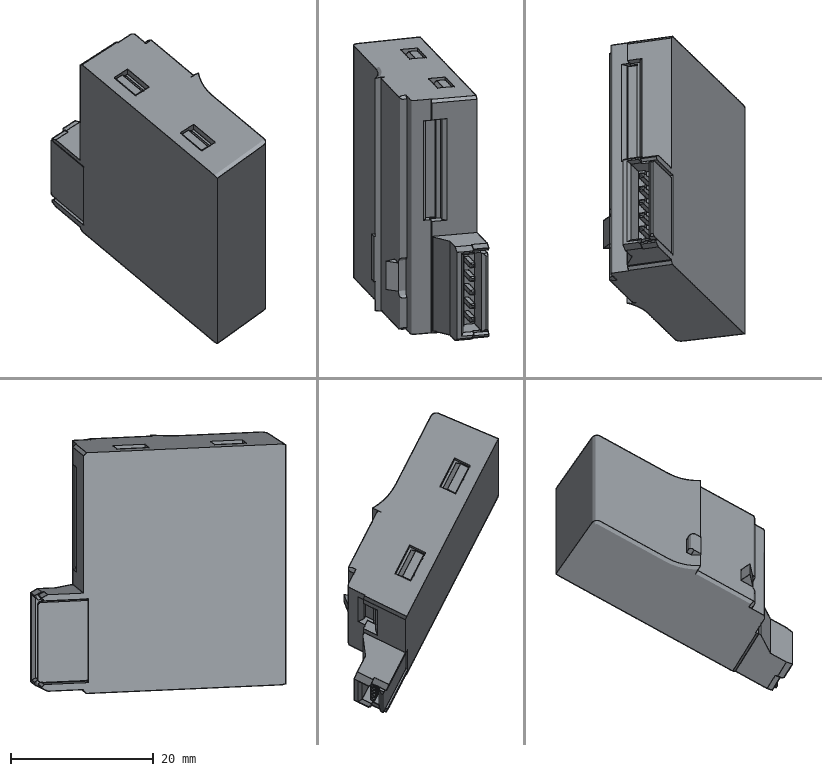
import cadquery as cq
import math


ROUND_MIDDLE = 1 - math.sqrt(0.5)

LENGTH = 35.65
HEIGHT = 34.4
BASE_X = 6.5
BASE_TOP_Y = 6.6
SHOULDER_X = 7.05
SHOULDER_Y = 9.43
SHOULDER_RADIUS = 0.5
BASE_CORNER = 0.43
END_DRAFT = 0.49
END_CORNER_RUN = 0.9
END_CORNER_DROP = 0.85

PANEL_X = 9.25
PANEL_Y = 10.5
PANEL_BEVEL = 0.55
PANEL_BEVEL_RISE = 0.48
PANEL_CORNER_Z = 0.4
RIDGE_X = 18.77
RIDGE_Y = 11.33
BACK_Y = 9.95
DISH_END_X = 23.3
EDGE_BEVEL_Z = 0.14
EDGE_BEVEL_Y = 0.55
TRIM_MARGIN = 2.0

HOOK_BOTTOM_Z = 5.64
HOOK_TOP_Z = 9.8
HOOK_PEAK_X = 11.1
HOOK_PEAK_Y = 11.94
HOOK_END_X = 11.75
NOTCH_RADIUS = 0.95
GRIP_BOTTOM_Z = 4.4
GRIP_TOP_Z = 11.06
GRIP_LENGTH = 1.75
GRIP_Y = 11.5
GRIP_CORNER_Z = 0.75
GRIP_CORNER_X = 0.6

POCKET_STARTS_X = (11.75, 25.8)
POCKET_LENGTH = 4.57
POCKET_MIN_Y = 1.8
POCKET_MAX_Y = 4.25
POCKET_DEPTH = 1.05
TONGUE_MAX_Y = 3.87
TONGUE_CREST_Y = 3.15
TONGUE_MIN_Y = 1.9
TONGUE_DEPTH = 0.3
TONGUE_GAP_START = 0.15
TONGUE_GAP_END = 0.3

SLOT_BOTTOM_Z = 16.66
SLOT_TOP_Z = 31.27
SLOT_MOUTH_BOTTOM_MARGIN = 0.1
SLOT_MOUTH_TOP_MARGIN = 0.23
SLOT_LIP_X = 7.1
SLOT_MIN_Y = 4.4
SLOT_LIP_Y = 4.95
SLOT_STEP_Y = 5.63
SLOT_HIGH_FLOOR_Y = 7.12
SLOT_MAX_Y = 7.68
SLOT_FLOOR_X = 8.2
SLOT_SHELF_X = 7.8

SHELL_BOTTOM_Z = 0.57
SHELL_TOP_Z = 14.37
SHELL_Y = 4.8
SHELL_RAMP_X = 3.6
SHELL_RAMP_END_X = 6.15
SHELL_RAMP_END_Y = 6.5
TIP_CORNER_X = 1.0
TIP_CORNER_Z = 0.53
LIP_Y = 2.3
LIP_SETBACK = 0.5
LIP_CORNER = 0.22
LIP_TIP_CORNER_X = 0.85
LIP_TIP_CORNER_Z = 0.42

CAVITY_BOTTOM_Z = 1.83
CAVITY_TOP_Z = 13.25
CAVITY_MIN_Y = 1.1
CAVITY_MAX_Y = 3.77
CAVITY_LEDGE_Y = 2.8
CAVITY_WIDE_DEPTH = 3.4
CAVITY_DEPTH = 4.0
LEAD_IN = 0.38
LEAD_IN_DEPTH = 0.5

PLATE_END_X = 7.23
PLATE_RECESS = 0.25
PLATE_TIP_Y = 0.6
PLATE_CORNER = 0.3
GROOVE_WIDTH = 0.27
GROOVE_FLARE = 0.35

PIN_COUNT = 5
PIN_PITCH = 2.0
PIN_SIZE = 0.7
PIN_TIP_X = 0.6
PIN_TIP_TAPER = 0.2
PIN_Y = 2.3


def box(x0, x1, y0, y1, z0, z1):
    """Box between two opposite corners."""
    return cq.Workplane("XY").box(x1 - x0, y1 - y0, z1 - z0, centered=False).translate((x0, y0, z0))


def prism_along_z(points, z0, z1):
    """Extrude an XY outline from z0 to z1."""
    return cq.Workplane("XY").workplane(offset=z0).polyline(points).close().extrude(z1 - z0)


def prism_along_y(points, y0, y1):
    """Extrude an XZ outline from y0 to y1."""
    return cq.Workplane("XZ").workplane(offset=-y0).polyline(points).close().extrude(y0 - y1)


def frustum_along_x(x0, x1, start, end):
    """Loft between two YZ rectangles, each given as (y0, y1, z0, z1)."""
    (y0, y1, z0, z1) = start
    (v0, v1, w0, w1) = end
    return (
        cq.Workplane("YZ")
        .workplane(offset=x0)
        .polyline([(y0, z0), (y1, z0), (y1, z1), (y0, z1)])
        .close()
        .workplane(offset=x1 - x0)
        .polyline([(v0, w0), (v1, w0), (v1, w1), (v0, w1)])
        .close()
        .loft(ruled=True)
    )


def dish_radius():
    """Radius of the arc that leaves the ridge and runs tangent into the back."""
    run = DISH_END_X - RIDGE_X
    rise = RIDGE_Y - BACK_Y
    return (run**2 + rise**2) / (2 * rise)


def dish_middle(radius):
    """Point halfway along the dished arc."""
    half_angle = math.asin((DISH_END_X - RIDGE_X) / radius) / 2
    x = DISH_END_X - radius * math.sin(half_angle)
    y = BACK_Y + radius * (1 - math.cos(half_angle))
    return (x, y)


def back_outline():
    """Back outline, run past the ridge and the flat face so that both can be trimmed square."""
    end_x = LENGTH - END_DRAFT
    end_corner_y = BACK_Y - END_CORNER_DROP
    draft_per_y = END_DRAFT / end_corner_y
    corner_middle = (end_x - END_CORNER_RUN * ROUND_MIDDLE, BACK_Y - END_CORNER_DROP * ROUND_MIDDLE)
    return (
        cq.Workplane("XY")
        .moveTo(RIDGE_X - TRIM_MARGIN, -TRIM_MARGIN)
        .lineTo(RIDGE_X - TRIM_MARGIN, RIDGE_Y)
        .lineTo(RIDGE_X, RIDGE_Y)
        .threePointArc(dish_middle(dish_radius()), (DISH_END_X, BACK_Y))
        .lineTo(end_x - END_CORNER_RUN, BACK_Y)
        .threePointArc(corner_middle, (end_x, end_corner_y))
        .lineTo(LENGTH + draft_per_y * TRIM_MARGIN, -TRIM_MARGIN)
        .close()
    )


def make_back():
    """Dished grip surface, flat back and drafted end, bevelled at both ends in Z."""
    bevel_angle = math.degrees(math.atan2(EDGE_BEVEL_Y, EDGE_BEVEL_Z))
    middle = back_outline().extrude(HEIGHT / 2 - EDGE_BEVEL_Z)
    rim = back_outline().extrude(EDGE_BEVEL_Z, taper=bevel_angle).translate((0, 0, HEIGHT / 2 - EDGE_BEVEL_Z))
    upper_half = middle.union(rim)
    back = upper_half.union(upper_half.mirror("XY")).translate((0, 0, HEIGHT / 2))
    return back.intersect(box(RIDGE_X, LENGTH, 0, RIDGE_Y, 0, HEIGHT))


def make_housing():
    """Base, shoulder and raised panel joined to the back."""
    base = box(BASE_X, RIDGE_X, 0, BASE_TOP_Y, 0, HEIGHT).edges("|Y and <X").chamfer(BASE_CORNER)
    shoulder = (
        box(SHOULDER_X, RIDGE_X, BASE_TOP_Y, SHOULDER_Y, 0, HEIGHT)
        .edges("|Z and <X and >Y")
        .fillet(SHOULDER_RADIUS)
    )
    panel = prism_along_y(
        [
            (RIDGE_X, 0),
            (PANEL_X + PANEL_BEVEL, 0),
            (PANEL_X, PANEL_CORNER_Z),
            (PANEL_X, HEIGHT - PANEL_CORNER_Z),
            (PANEL_X + PANEL_BEVEL, HEIGHT),
            (RIDGE_X, HEIGHT),
        ],
        BASE_TOP_Y,
        PANEL_Y,
    )
    front_rounding = (
        cq.Workplane("XY")
        .moveTo(PANEL_X, PANEL_Y - PANEL_BEVEL_RISE)
        .lineTo(PANEL_X, PANEL_Y)
        .lineTo(PANEL_X + PANEL_BEVEL, PANEL_Y)
        .threePointArc(
            (PANEL_X + PANEL_BEVEL * ROUND_MIDDLE, PANEL_Y - PANEL_BEVEL_RISE * ROUND_MIDDLE),
            (PANEL_X, PANEL_Y - PANEL_BEVEL_RISE),
        )
        .close()
        .extrude(HEIGHT)
    )
    panel = panel.cut(front_rounding)
    for z_edge, inward in ((0, 1), (HEIGHT, -1)):
        side_bevel = (
            cq.Workplane("YZ")
            .polyline(
                [
                    (PANEL_Y - EDGE_BEVEL_Y, z_edge),
                    (PANEL_Y, z_edge),
                    (PANEL_Y, z_edge + inward * EDGE_BEVEL_Z),
                ]
            )
            .close()
            .extrude(RIDGE_X)
        )
        panel = panel.cut(side_bevel)
    return base.union(shoulder).union(panel).union(make_back())


def make_hook_notch():
    """Notch in the panel edge below the hook, with rounded inner corners."""
    back_x = PANEL_X + PANEL_BEVEL
    swing = math.acos(1 - PANEL_BEVEL / NOTCH_RADIUS)
    flare = NOTCH_RADIUS * math.sin(swing)
    middle_x = back_x - NOTCH_RADIUS * (1 - math.cos(swing / 2))
    middle_z = NOTCH_RADIUS * math.sin(swing / 2)
    return (
        cq.Workplane("XZ")
        .workplane(offset=-SHOULDER_Y)
        .moveTo(PANEL_X, HOOK_BOTTOM_Z - flare)
        .threePointArc((middle_x, HOOK_BOTTOM_Z - middle_z), (back_x, HOOK_BOTTOM_Z))
        .lineTo(back_x, HOOK_TOP_Z)
        .threePointArc((middle_x, HOOK_TOP_Z + middle_z), (PANEL_X, HOOK_TOP_Z + flare))
        .close()
        .extrude(SHOULDER_Y - PANEL_Y)
    )


def make_hook():
    """Pointed latch hook on the raised panel."""
    outline = [
        (PANEL_X + PANEL_BEVEL, PANEL_Y - PANEL_BEVEL),
        (PANEL_X + PANEL_BEVEL, PANEL_Y),
        (HOOK_PEAK_X, HOOK_PEAK_Y),
        (HOOK_END_X, PANEL_Y),
        (HOOK_END_X, PANEL_Y - PANEL_BEVEL),
    ]
    return prism_along_z(outline, HOOK_BOTTOM_Z, HOOK_TOP_Z)


def make_grip():
    """Finger grip standing on the ridge, tapered at its two ends."""
    end_x = RIDGE_X + GRIP_LENGTH
    grip = box(RIDGE_X, end_x, BACK_Y, GRIP_Y, GRIP_BOTTOM_Z, GRIP_TOP_Z)
    grip = grip.edges("|Y and >X").chamfer(GRIP_CORNER_Z, GRIP_CORNER_X)
    return grip.edges(">X and >Y").fillet(GRIP_CORNER_X)


def make_top_pocket(start_x):
    """Pocket with a tongue standing on its floor; the tongue slopes down towards +Y."""
    end_x = start_x + POCKET_LENGTH
    floor_z = HEIGHT - POCKET_DEPTH
    crest_z = HEIGHT - TONGUE_DEPTH
    pocket = box(start_x, end_x, POCKET_MIN_Y, POCKET_MAX_Y, floor_z, HEIGHT)
    tongue = (
        cq.Workplane("YZ")
        .workplane(offset=start_x + TONGUE_GAP_START)
        .polyline(
            [
                (TONGUE_MIN_Y, floor_z),
                (TONGUE_MIN_Y, crest_z),
                (TONGUE_CREST_Y, crest_z),
                (TONGUE_MAX_Y, floor_z),
            ]
        )
        .close()
        .extrude(POCKET_LENGTH - TONGUE_GAP_START - TONGUE_GAP_END)
    )
    return pocket.cut(tongue)


def make_side_slot():
    """Stepped slot in the connector-side face, wider where it crosses the base."""
    outline = [
        (BASE_X, SLOT_MIN_Y),
        (SLOT_LIP_X, SLOT_LIP_Y),
        (SLOT_SHELF_X, SLOT_LIP_Y),
        (SLOT_SHELF_X, SLOT_STEP_Y),
        (SLOT_FLOOR_X, SLOT_STEP_Y),
        (SLOT_FLOOR_X, SLOT_HIGH_FLOOR_Y),
        (SLOT_SHELF_X, SLOT_HIGH_FLOOR_Y),
        (SHOULDER_X, SLOT_MAX_Y),
        (BASE_X, SLOT_MAX_Y),
    ]
    slot = prism_along_z(outline, SLOT_BOTTOM_Z, SLOT_TOP_Z)
    mouth_outline = [
        (BASE_X, SLOT_MIN_Y),
        (SLOT_LIP_X, SLOT_LIP_Y),
        (SLOT_SHELF_X, SLOT_LIP_Y),
        (SLOT_SHELF_X, BASE_TOP_Y),
        (BASE_X, BASE_TOP_Y),
    ]
    z0 = SLOT_BOTTOM_Z - SLOT_MOUTH_BOTTOM_MARGIN
    z1 = SLOT_TOP_Z + SLOT_MOUTH_TOP_MARGIN
    mouth = prism_along_z(mouth_outline, z0, z1)
    return slot.union(mouth)


def shell_plan(tip_x, corner_x, corner_z):
    """XZ outline of the connector shell with its two tip corners cut off."""
    return [
        (tip_x, SHELL_BOTTOM_Z + corner_z),
        (tip_x + corner_x, SHELL_BOTTOM_Z),
        (SHOULDER_X, SHELL_BOTTOM_Z),
        (SHOULDER_X, SHELL_TOP_Z),
        (tip_x + corner_x, SHELL_TOP_Z),
        (tip_x, SHELL_TOP_Z - corner_z),
    ]


def make_connector_shell():
    """Shell that ramps up to the housing, with a set-back lip on the flat side."""
    profile = [
        (0, LIP_Y + LIP_CORNER),
        (LIP_CORNER, LIP_Y),
        (SHOULDER_X, LIP_Y),
        (SHOULDER_X, SHELL_RAMP_END_Y),
        (SHELL_RAMP_END_X, SHELL_RAMP_END_Y),
        (SHELL_RAMP_X, SHELL_Y),
        (0, SHELL_Y),
    ]
    upper = prism_along_z(profile, SHELL_BOTTOM_Z, SHELL_TOP_Z)
    upper = upper.intersect(prism_along_y(shell_plan(0, TIP_CORNER_X, TIP_CORNER_Z), 0, BASE_TOP_Y))
    lip_plan = shell_plan(LIP_SETBACK, LIP_TIP_CORNER_X, LIP_TIP_CORNER_Z)
    lower = prism_along_y(lip_plan, 0, LIP_Y)
    return upper.union(lower)


def make_cavity():
    """Connector opening with a flared mouth and a narrower inner end."""
    top_y = CAVITY_MAX_Y
    lead_in = frustum_along_x(
        0,
        LEAD_IN_DEPTH,
        (CAVITY_MIN_Y, top_y + LEAD_IN, CAVITY_BOTTOM_Z - LEAD_IN, CAVITY_TOP_Z + LEAD_IN),
        (CAVITY_MIN_Y, top_y, CAVITY_BOTTOM_Z, CAVITY_TOP_Z),
    )
    wide = box(0, CAVITY_WIDE_DEPTH, CAVITY_MIN_Y, top_y, CAVITY_BOTTOM_Z, CAVITY_TOP_Z)
    deep = box(0, CAVITY_DEPTH, CAVITY_MIN_Y, CAVITY_LEDGE_Y, CAVITY_BOTTOM_Z, CAVITY_TOP_Z)
    return lead_in.union(wide).union(deep)


def make_plate_opening():
    """Opening for the cover plate, flared at the connector tip."""
    z0 = CAVITY_BOTTOM_Z - GROOVE_WIDTH
    z1 = CAVITY_TOP_Z + GROOVE_WIDTH
    opening = box(0, PLATE_END_X, 0, CAVITY_MIN_Y, z0, z1)
    flare = prism_along_y(
        [
            (LIP_SETBACK, z0 - GROOVE_FLARE),
            (LIP_SETBACK + GROOVE_FLARE, z0),
            (LIP_SETBACK + GROOVE_FLARE, z1),
            (LIP_SETBACK, z1 + GROOVE_FLARE),
        ],
        0,
        LIP_Y,
    )
    return opening.union(flare)


def make_cover_plate():
    """Recessed plate that closes the flat side of the connector."""
    profile = [
        (0, PLATE_RECESS),
        (0, PLATE_TIP_Y),
        (LIP_SETBACK, CAVITY_MIN_Y),
        (PLATE_END_X, CAVITY_MIN_Y),
        (PLATE_END_X, PLATE_RECESS),
    ]
    plate = prism_along_z(profile, CAVITY_BOTTOM_Z, CAVITY_TOP_Z)
    return plate.edges("|Y and <X").chamfer(PLATE_CORNER)


def make_pins():
    """Row of square contact pins with tapered tips."""
    row_center = (SHELL_BOTTOM_Z + SHELL_TOP_Z) / 2
    half = PIN_SIZE / 2
    tip_half = half - PIN_TIP_TAPER
    shank_x = PIN_TIP_X + PIN_TIP_TAPER
    pins = cq.Workplane("XY")
    for i in range(PIN_COUNT):
        z = row_center + (i - (PIN_COUNT - 1) / 2) * PIN_PITCH
        shank_section = (PIN_Y - half, PIN_Y + half, z - half, z + half)
        tip_section = (PIN_Y - tip_half, PIN_Y + tip_half, z - tip_half, z + tip_half)
        pins = pins.add(box(shank_x, CAVITY_DEPTH, *shank_section))
        pins = pins.add(frustum_along_x(PIN_TIP_X, shank_x, tip_section, shank_section))
    return pins.combine()


result = make_housing().cut(make_hook_notch()).union(make_hook()).union(make_grip())
for pocket_x in POCKET_STARTS_X:
    result = result.cut(make_top_pocket(pocket_x))
result = result.cut(make_side_slot())
result = result.union(make_connector_shell()).cut(make_cavity()).cut(make_plate_opening())
result = result.union(make_cover_plate()).union(make_pins())